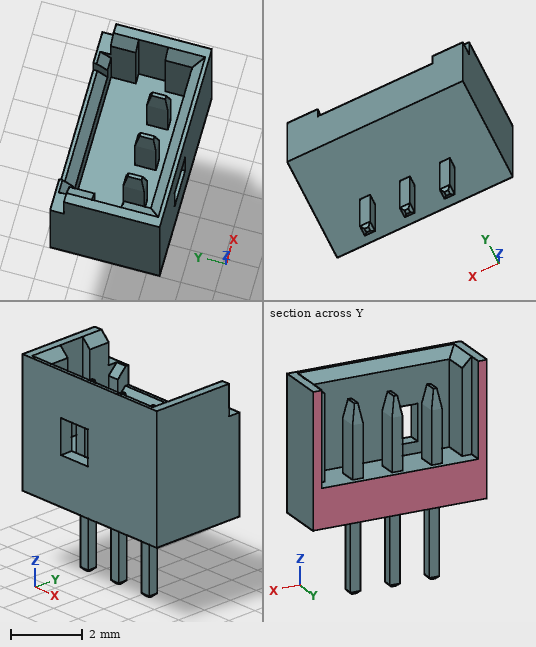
import cadquery as cq


length = 5.5
depth = 3.2
total_height = 6.5
height = 4.2
floor_height = 1.25

lead_in = 0.3
side_rim = 0.28
front_rim = 0.12
side_wall = side_rim + lead_in
front_wall = front_rim + lead_in
back_wall = front_wall
cavity_length = length - 2 * side_wall
cavity_back = depth - back_wall

groove_front = 1.2
groove_back = 2.06

step_depth = 0.4
step_drop = 1.0
step_level = height - step_drop
step_rim = 0.1
notch_length = 3.59
notch_drop = 1.6
notch_level = height - notch_drop

window_length = 1.1
window_height = 1.14
window_bottom = 1.6

pin_count = 3
pin_pitch = 1.25
pin_y = 1.13
blade_width = 0.33
blade_depth = 0.61
blade_top = 3.5
blade_tip_width = 0.105
blade_tip_depth = 0.4
blade_tip_height = 0.6
tail_length = total_height - height
tail_width = 0.32
tail_tip_height = 0.1
tail_tip_width = tail_width - 2 * tail_tip_height


def block(x_size, y_start, y_end, z_start, z_end):
    """Box centred on X = 0 between the given Y and Z limits."""
    size_y = y_end - y_start
    size_z = z_end - z_start
    return cq.Workplane("XY").box(x_size, size_y, size_z, centered=(True, False, False)).translate(
        (0, y_start, z_start)
    )


def extruded_profile(points, x_size):
    """Prism along X, centred on X = 0, from a profile of (y, z) points."""
    return cq.Workplane("YZ").polyline(points).close().extrude(x_size / 2, both=True)


def frustum(bottom_size, top_size, z_start, z_end):
    """Tapered block on the Z axis between two rectangles given as (x, y) sizes."""
    return (
        cq.Workplane("XY", origin=(0, 0, z_start))
        .rect(*bottom_size)
        .workplane(offset=z_end - z_start)
        .rect(*top_size)
        .loft(ruled=True)
    )


def rim_lead_in():
    """Sloped opening along the front and side walls; it runs out through the lowered back."""
    opening_bottom = height - lead_in
    slope_back = depth + lead_in
    opening = frustum(
        (cavity_length, slope_back - front_wall),
        (cavity_length + 2 * lead_in, slope_back + lead_in - front_rim),
        opening_bottom,
        height,
    )
    return opening.translate((0, (front_wall + slope_back) / 2, 0))


def back_lead_in(level, rim, x_size):
    """Sloped inner edge of the back wall below a top face at the given level."""
    slope = back_wall - rim
    points = [
        (cavity_back, level - slope),
        (cavity_back + slope, level),
        (cavity_back, level),
    ]
    return extruded_profile(points, x_size)


def make_housing():
    """Shroud with its cavity, side grooves, lowered back and front window."""
    housing = block(length, 0, depth, 0, height)
    housing = housing.cut(block(cavity_length, front_wall, cavity_back, floor_height, height))
    housing = housing.cut(rim_lead_in())
    groove_span = length - 2 * side_rim
    housing = housing.cut(block(groove_span, groove_front, groove_back, floor_height, height))

    housing = housing.cut(block(length, depth - step_depth, depth, step_level, height))
    housing = housing.cut(block(cavity_length, cavity_back, depth, step_level, height))
    housing = housing.cut(back_lead_in(step_level, step_rim, cavity_length))
    housing = housing.cut(block(notch_length, cavity_back, depth, notch_level, height))
    housing = housing.cut(back_lead_in(notch_level, front_rim, notch_length))

    window = block(window_length, 0, front_wall, window_bottom, window_bottom + window_height)
    return housing.cut(window.translate((-pin_pitch / 2, 0, 0)))


def make_pin():
    """Pin centred on the Z axis; blade and tail meet at the cavity floor."""
    blade_size = (blade_width, blade_depth)
    blade_tip_size = (blade_tip_width, blade_tip_depth)
    blade_shoulder = blade_top - blade_tip_height
    blade = frustum(blade_size, blade_size, floor_height, blade_shoulder)
    blade_tip = frustum(blade_size, blade_tip_size, blade_shoulder, blade_top)

    tail_size = (tail_width, tail_width)
    tail_tip_size = (tail_tip_width, tail_tip_width)
    tail_shoulder = tail_tip_height - tail_length
    tail = frustum(tail_size, tail_size, tail_shoulder, floor_height)
    tail_tip = frustum(tail_tip_size, tail_size, -tail_length, tail_shoulder)
    return blade.union(blade_tip).union(tail).union(tail_tip)


result = make_housing()
for index in range(pin_count):
    pin_x = (index - (pin_count - 1) / 2) * pin_pitch
    result = result.union(make_pin().translate((pin_x, pin_y, 0)))